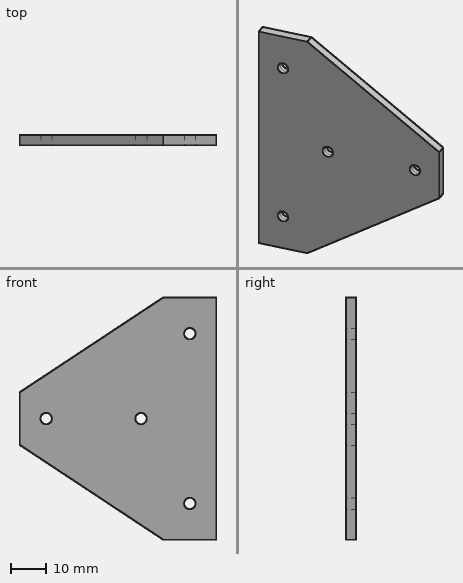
import cadquery as cq

width = 55.9
height = 69.0
thickness = 3.0
end_flat = 15.05

hole_diameter = 3.2
hole_edge_offset = end_flat / 2
corner_hole_height = 24.15
middle_hole_offset = 21.4

left = -width / 2
right = width / 2
top = height / 2

outline = [
    (left, -end_flat / 2),
    (right - end_flat, -top),
    (right, -top),
    (right, top),
    (right - end_flat, top),
    (left, end_flat / 2),
]
plate = cq.Workplane("XZ").polyline(outline).close().extrude(thickness / 2, both=True)

hole_centers = [
    (left + hole_edge_offset, 0),
    (right - middle_hole_offset, 0),
    (right - hole_edge_offset, corner_hole_height),
    (right - hole_edge_offset, -corner_hole_height),
]
holes = (
    cq.Workplane("XZ")
    .pushPoints(hole_centers)
    .circle(hole_diameter / 2)
    .extrude(thickness, both=True)
)

result = plate.cut(holes)